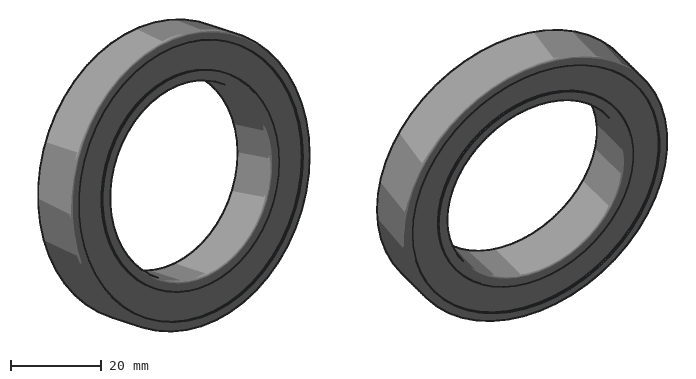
import cadquery as cq

outer_diameter = 68.0
bore_diameter = 45.0
width = 12.0
edge_radius = 0.6

seal_outer_diameter = 63.5
seal_inner_diameter = 50.0
seal_recess = 0.55


def ring(outer, inner, start, length):
    """Plain ring around the X axis, starting at X = start."""
    return (
        cq.Workplane("YZ", origin=(start, 0, 0))
        .circle(outer / 2)
        .circle(inner / 2)
        .extrude(length)
    )


body = ring(outer_diameter, bore_diameter, -width / 2, width)
body = body.faces("<X or >X").edges().fillet(edge_radius)

for recess_start in (-width / 2, width / 2 - seal_recess):
    body = body.cut(ring(seal_outer_diameter, seal_inner_diameter, recess_start, seal_recess))

result = body